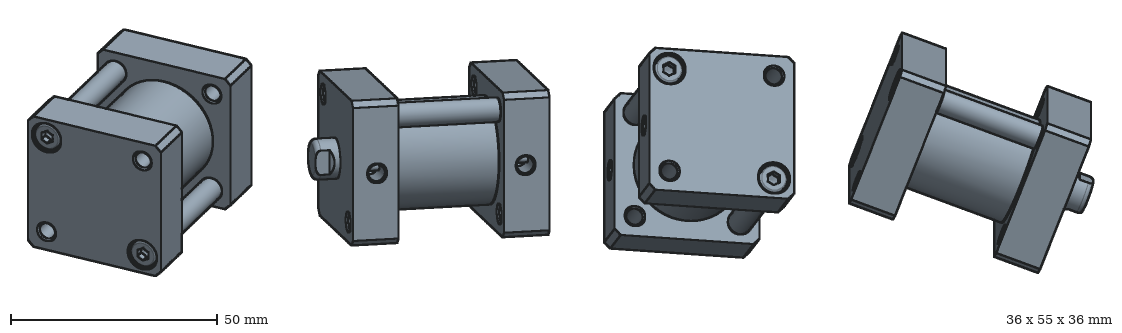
import cadquery as cq
import math


total_length = 55.0
rod_projection = 6.0

head_side = 36.0
head_thickness = 11.4
head_corner_chamfer = 1.5
boss_height = 0.2

tube_outer_diameter = 26.6
tube_bore_diameter = 25.0

corner_offset = 13.0
corner_hole_diameter = 4.1
corner_hole_mouth_diameter = 5.1

port_diameter = corner_hole_diameter
port_mouth_diameter = 4.95
port_to_outer_face = 6.0
port_depth = 8.0
port_bar_diameter = 2.0
port_bar_depth = 7.0
drill_point_angle = 118.0

counterbore_diameter = 7.5
counterbore_mouth_diameter = 8.0
counterbore_depth = 4.4
screw_head_diameter = 7.0
screw_head_recess = 0.3
screw_head_fillet = 0.5
socket_across_flats = 2.95
socket_depth = 2.0

tie_rod_diameter = 6.0
tie_rod_chamfer = 0.2

rod_diameter = 10.0
rod_tip_diameter = 7.7
rod_tip_rounding_length = 1.3
rod_across_flats = 8.0
rod_flat_length = 3.5

front_y = -total_length / 2
front_inner_y = front_y + head_thickness
tube_front_y = front_inner_y + boss_height
rod_tip_y = total_length / 2
rear_y = rod_tip_y - rod_projection
rear_inner_y = rear_y - head_thickness
tube_rear_y = rear_inner_y - boss_height

open_corners = [(-corner_offset, -corner_offset), (corner_offset, corner_offset)]
tie_rod_corners = [(-corner_offset, corner_offset), (corner_offset, -corner_offset)]


def cylinder_y(diameter, start_y, end_y, x=0, z=0):
    """Solid cylinder parallel to Y."""
    start = cq.Vector(x, start_y, z)
    return cq.Workplane(cq.Solid.makeCylinder(diameter / 2, end_y - start_y, start, cq.Vector(0, 1, 0)))


def cone_z(base_diameter, top_diameter, height, base_z=0):
    """Cone or cone frustum standing on the XY plane or above it."""
    base = cq.Vector(0, 0, base_z)
    return cq.Workplane(cq.Solid.makeCone(base_diameter / 2, top_diameter / 2, height, base))


def drill_point(diameter, base_z):
    """Conical bottom of a drilled hole."""
    height = diameter / 2 / math.tan(math.radians(drill_point_angle / 2))
    return cone_z(diameter, 0, height, base_z)


def chamfered_hole(diameter, mouth_diameter, depth):
    """Hole cutter along +Z from the origin, widened by a 45 degree chamfer at its start."""
    mouth_depth = (mouth_diameter - diameter) / 2
    bore = cq.Workplane("XY").circle(diameter / 2).extrude(depth)
    return bore.union(cone_z(mouth_diameter, diameter, mouth_depth))


def along_y(shape, x, start_y, z):
    """Turn a shape made along +Z to +Y and put its origin at the given place."""
    return shape.rotate((0, 0, 0), (1, 0, 0), -90).translate((x, start_y, z))


def corner_hole():
    """Through-hole cutter for a head, chamfered at both ends."""
    half_depth = head_thickness / 2
    half = chamfered_hole(corner_hole_diameter, corner_hole_mouth_diameter, half_depth)
    return half.union(half.mirror("XY").translate((0, 0, head_thickness)))


def side_port(port_y):
    """Port cutter entering the -X side, with a drill point and a round bar left across its bottom."""
    bar_start = cq.Vector(0, -port_mouth_diameter / 2, port_bar_depth)
    bar = cq.Solid.makeCylinder(port_bar_diameter / 2, port_mouth_diameter, bar_start, cq.Vector(0, 1, 0))
    cutter = chamfered_hole(port_diameter, port_mouth_diameter, port_depth)
    cutter = cutter.union(drill_point(port_diameter, port_depth)).cut(cq.Workplane(bar))
    return cutter.rotate((0, 0, 0), (0, 1, 0), 90).translate((-head_side / 2, port_y, 0))


def plain_head(start_y, port_y):
    """Square block with chamfered corners, two open corner holes and a side port."""
    block = (
        cq.Workplane("XY")
        .box(head_side, head_thickness, head_side)
        .edges("|Y")
        .chamfer(head_corner_chamfer)
        .translate((0, start_y + head_thickness / 2, 0))
    )
    for x, z in open_corners:
        block = block.cut(along_y(corner_hole(), x, start_y, z))
    return block.cut(side_port(port_y))


def screw_head():
    """Socket screw head along +Z, its rounded top on the XY plane, down to the counterbore floor."""
    height = counterbore_depth - screw_head_recess
    body = cq.Workplane("XY").circle(screw_head_diameter / 2).extrude(height)
    body = body.faces("<Z").edges().fillet(screw_head_fillet)
    socket_across_corners = socket_across_flats / math.cos(math.pi / 6)
    drilling = cq.Workplane("XY").circle(socket_across_corners / 2).extrude(socket_depth)
    drilling = drilling.union(drill_point(socket_across_corners, socket_depth))
    socket = cq.Workplane("XY").polygon(6, socket_across_corners).extrude(height).intersect(drilling)
    return body.cut(socket.rotate((0, 0, 0), (0, 0, 1), 90))


def make_front_head():
    """Front head with a tube boss and screw heads standing in its two counterbores."""
    block = plain_head(front_y, front_y + port_to_outer_face)
    block = block.union(cylinder_y(tube_outer_diameter, front_inner_y, tube_front_y))
    counterbore = chamfered_hole(counterbore_diameter, counterbore_mouth_diameter, counterbore_depth)
    for x, z in tie_rod_corners:
        block = block.cut(along_y(counterbore, x, front_y, z))
        block = block.union(along_y(screw_head(), x, front_y + screw_head_recess, z))
    return block


def make_rear_head():
    """Rear head with a tube boss, bored for the piston rod."""
    block = plain_head(rear_inner_y, rear_y - port_to_outer_face)
    block = block.union(cylinder_y(tube_outer_diameter, tube_rear_y, rear_inner_y))
    return block.cut(cylinder_y(rod_diameter, tube_rear_y, rear_y))


def make_tube():
    """Cylinder tube clamped between the head bosses."""
    tube = cylinder_y(tube_outer_diameter, tube_front_y, tube_rear_y)
    return tube.cut(cylinder_y(tube_bore_diameter, tube_front_y, tube_rear_y))


def make_piston_rod():
    """Rod with a rounded tip and two wrench flats that run out at 45 degrees."""
    rod = (
        cq.Workplane("XY")
        .moveTo(0, tube_front_y)
        .lineTo(rod_diameter / 2, tube_front_y)
        .lineTo(rod_diameter / 2, rod_tip_y - rod_tip_rounding_length)
        .tangentArcPoint((rod_tip_diameter / 2, rod_tip_y), relative=False)
        .lineTo(0, rod_tip_y)
        .close()
        .revolve(360, (0, 0, 0), (0, 1, 0))
    )
    flat_x = rod_across_flats / 2
    flat_depth = rod_diameter / 2 - flat_x
    flat_end_y = rod_tip_y - rod_flat_length
    flat_outline = [
        (flat_x, rod_tip_y),
        (flat_x, flat_end_y),
        (flat_x + flat_depth, flat_end_y - flat_depth),
        (flat_x + flat_depth, rod_tip_y),
    ]
    flat_cutter = cq.Workplane("XY").polyline(flat_outline).close().extrude(rod_diameter / 2, both=True)
    return rod.cut(flat_cutter).cut(flat_cutter.mirror("YZ"))


def make_tie_rod(x, z):
    """Round tie rod as long as the tube, chamfered at both ends."""
    tie_rod = cylinder_y(tie_rod_diameter, tube_front_y, tube_rear_y, x, z)
    return tie_rod.faces("<Y or >Y").edges().chamfer(tie_rod_chamfer)


front_head = make_front_head()
rear_head = make_rear_head()
tube = make_tube()
piston_rod = make_piston_rod()
tie_rods = [make_tie_rod(x, z) for x, z in tie_rod_corners]

result = cq.Compound.makeCompound([
    front_head.val(),
    rear_head.val(),
    tube.val(),
    piston_rod.val(),
    *[tie_rod.val() for tie_rod in tie_rods],
])